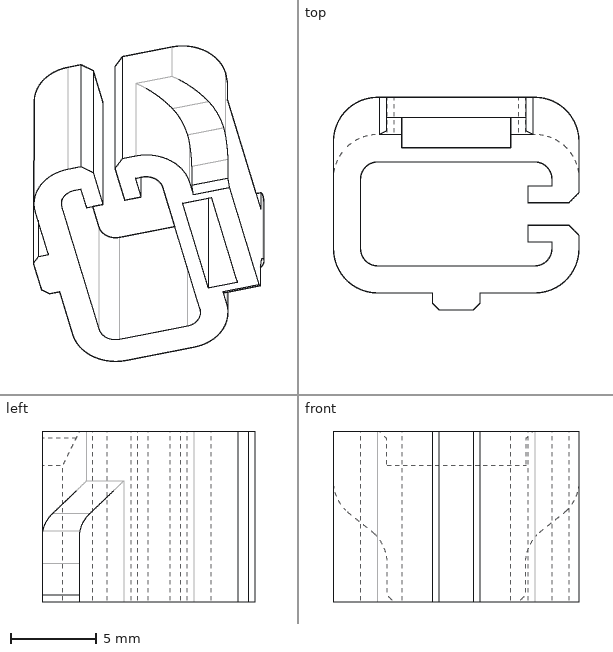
import cadquery as cq
import math

width = 14.4
height = 10.0
rib_height = 1.0
depth = 12.48 - rib_height
back = depth / 2
corner_radius = 2.6

wall = 1.6
cavity_depth = 6.08
cavity_width = width - 2 * wall
cavity_y = -back + wall + cavity_depth / 2
hook_reach = 3.0
hook_thickness = 1.0
opening_gap = 1.3
opening_chamfer = 0.6

rib_width = 2.8
rib_chamfer = 0.4

bar_thickness = 1.2
window_width = 6.36
window_depth = 1.75

recess_floor_z = 8.0
recess_depth = 2.18
lead_in = 0.4
leg_half_width = 4.05
recess_half_width = 4.1

setback = recess_depth
setback_top_z = 7.1
leg_shoulder_z = 2.25
shoulder_radius = 2.43


def box(x_min, x_max, y_min, y_max):
    """Block over the full height with the given plan limits."""
    plan = cq.Workplane("XY").rect(x_max - x_min, y_max - y_min).extrude(height)
    return plan.translate(((x_min + x_max) / 2, (y_min + y_max) / 2, 0))


def rounded_block(block_width, y_min, y_max, radius):
    half_width = block_width / 2
    return box(-half_width, half_width, y_min, y_max).edges("|Z").fillet(radius)


def make_rib():
    """Full-height rib on the front face, with chamfered outer edges."""
    rib = box(-rib_width / 2, rib_width / 2, -back - rib_height, -back + wall / 2)
    return rib.faces("<Y").edges("|Z").chamfer(rib_chamfer)


def make_hooks():
    """Pair of lips that turn inward beside the opening in the +X wall."""
    half_span = opening_gap / 2 + hook_thickness
    x_max = width / 2 - wall / 2
    return box(width / 2 - hook_reach, x_max, cavity_y - half_span, cavity_y + half_span)


def make_opening():
    """Gap between the hooks, flared outward at the +X face."""
    x_face = width / 2
    x_inner = x_face - hook_reach
    half_gap = opening_gap / 2
    half_mouth = half_gap + opening_chamfer
    points = [
        (x_inner, cavity_y - half_gap),
        (x_face - opening_chamfer, cavity_y - half_gap),
        (x_face, cavity_y - half_mouth),
        (x_face, cavity_y + half_mouth),
        (x_face - opening_chamfer, cavity_y + half_gap),
        (x_inner, cavity_y + half_gap),
    ]
    return cq.Workplane("XY").polyline(points).close().extrude(height)


def make_recess():
    """Top recess: lead-in chamfers at its sides and a ramp up to the window wall."""
    top_half_width = recess_half_width + lead_in
    across = (
        cq.Workplane("XZ", origin=(0, back, 0))
        .moveTo(-top_half_width, height)
        .lineTo(-recess_half_width, height - lead_in)
        .lineTo(-recess_half_width, recess_floor_z)
        .lineTo(recess_half_width, recess_floor_z)
        .lineTo(recess_half_width, height - lead_in)
        .lineTo(top_half_width, height)
        .close()
        .extrude(recess_depth)
    )
    along = (
        cq.Workplane("YZ", origin=(-width / 2, 0, 0))
        .moveTo(back, recess_floor_z)
        .lineTo(back - bar_thickness, recess_floor_z)
        .lineTo(back - recess_depth, height)
        .lineTo(back, height)
        .close()
        .extrude(width)
    )
    return across.intersect(along)


def make_shoulder_profile():
    """Region beside the leg at -X, under an S-shaped shoulder of two arcs and their common tangent."""
    x_side = -width / 2
    run = width / 2 - leg_half_width
    drop = setback_top_z - leg_shoulder_z
    centre_run = shoulder_radius - run / 2
    centre_distance = math.hypot(centre_run, drop / 2)
    turn = math.atan2(drop / 2, centre_run) - math.acos(shoulder_radius / centre_distance)

    def arc_offset(angle):
        return shoulder_radius * (1 - math.cos(angle)), shoulder_radius * math.sin(angle)

    mid_x, mid_z = arc_offset(turn / 2)
    end_x, end_z = arc_offset(turn)
    leg_x = -leg_half_width
    return (
        cq.Workplane("XZ", origin=(0, back, 0))
        .moveTo(x_side, setback_top_z)
        .threePointArc((x_side + mid_x, setback_top_z - mid_z), (x_side + end_x, setback_top_z - end_z))
        .lineTo(leg_x - end_x, leg_shoulder_z + end_z)
        .threePointArc((leg_x - mid_x, leg_shoulder_z + mid_z), (leg_x, leg_shoulder_z))
        .lineTo(leg_x, lead_in)
        .lineTo(leg_x + lead_in, 0)
        .lineTo(x_side, 0)
        .close()
    )


def make_setback():
    """Material removed at the lower -X back corner, outside a set-back copy of the rounded corner."""
    removed = make_shoulder_profile().extrude(setback + corner_radius)
    kept = rounded_block(width, -back, back - setback, corner_radius)
    return removed.cut(kept)


body = rounded_block(width, -back, back, corner_radius)
cavity = rounded_block(
    cavity_width, cavity_y - cavity_depth / 2, cavity_y + cavity_depth / 2, corner_radius - wall
)
window_back = back - bar_thickness
window = box(-window_width / 2, window_width / 2, window_back - window_depth, window_back)
left_setback = make_setback()

result = body.cut(cavity).union(make_hooks()).union(make_rib())
result = result.cut(make_opening()).cut(window).cut(make_recess())
result = result.cut(left_setback).cut(left_setback.mirror("YZ"))